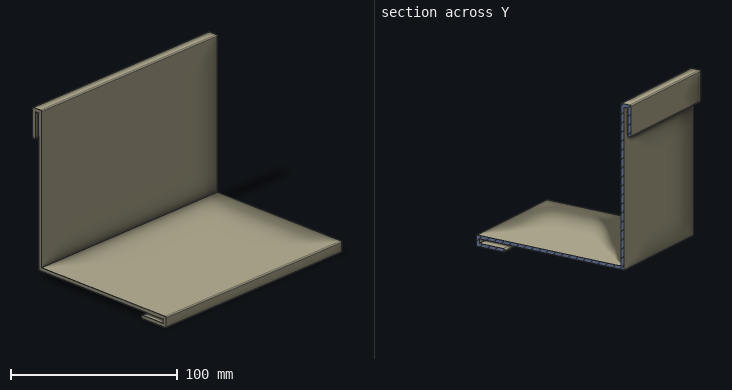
import cadquery as cq

length = 152.4
span = 110.8
thickness = 2.5
hem_depth = 7.5
hem_length = 20.5
bend_radius = 0.8

wall_outer = hem_depth - thickness
wall_inner = hem_depth
hem_inner = span - thickness
lip_tip = span - hem_length
lip_round = thickness / 2
lip_straight = lip_tip + lip_round

profile = (
    cq.Workplane("XZ")
    .moveTo(wall_inner, wall_inner)
    .lineTo(wall_inner, span)
    .lineTo(0, span)
    .lineTo(0, lip_straight)
    .threePointArc((lip_round, lip_tip), (thickness, lip_straight))
    .lineTo(thickness, hem_inner)
    .lineTo(wall_outer, hem_inner)
    .lineTo(wall_outer, wall_outer)
    .lineTo(hem_inner, wall_outer)
    .lineTo(hem_inner, thickness)
    .lineTo(lip_straight, thickness)
    .threePointArc((lip_tip, lip_round), (lip_straight, 0))
    .lineTo(span, 0)
    .lineTo(span, wall_inner)
    .close()
)

result = profile.extrude(-length)

hem_corners = [(0, span), (wall_inner, span), (span, 0), (span, wall_inner)]
for x, z in hem_corners:
    nearest_edge = cq.selectors.NearestToPointSelector((x, length / 2, z))
    result = result.edges("|Y").edges(nearest_edge).fillet(bend_radius)